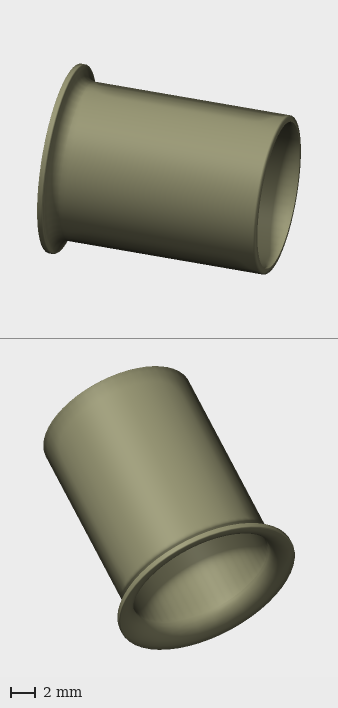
import cadquery as cq

length = 18.0
flange_diameter = 15.5
bore_diameter = 12.0
wall = 0.5
flare_inner_radius = 1.5
rim_edge_radius = 0.1
end_edge_radius = 0.2

flange_radius = flange_diameter / 2
bore_radius = bore_diameter / 2
tube_radius = bore_radius + wall
flare_outer_radius = flare_inner_radius - wall
flare_center_radius = bore_radius + flare_inner_radius

wall_section = (
    cq.Workplane("XY")
    .moveTo(0, flare_center_radius)
    .radiusArc((flare_inner_radius, bore_radius), -flare_inner_radius)
    .lineTo(length, bore_radius)
    .lineTo(length, tube_radius)
    .lineTo(flare_inner_radius, tube_radius)
    .radiusArc((wall, flare_center_radius), flare_outer_radius)
    .lineTo(wall, flange_radius)
    .lineTo(0, flange_radius)
    .close()
)
sleeve = wall_section.revolve(360, (0, 0, 0), (1, 0, 0))

largest_circle = cq.selectors.RadiusNthSelector(-1)
sleeve = sleeve.edges("%CIRCLE").edges(largest_circle).fillet(rim_edge_radius)

result = sleeve.faces(">X").edges(largest_circle).fillet(end_edge_radius)